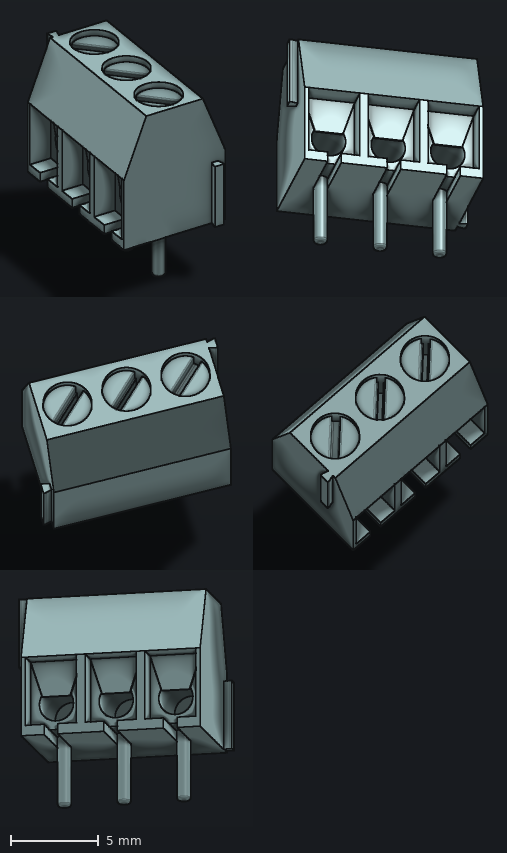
import cadquery as cq

POLE_COUNT = 3
PITCH = 3.5
HOUSING_LENGTH = POLE_COUNT * PITCH
HOUSING_DEPTH = 6.8
HOUSING_HEIGHT = 8.4
SHOULDER_HEIGHT = 4.6
TOP_DEPTH = 3.8

POCKET_WIDTH = 3.0
POCKET_DEPTH = 1.4
FLOOR_THICKNESS = 0.6
WIRE_HOLE_DIAMETER = 2.0
WIRE_HOLE_HEIGHT = 2.1
GUARD_THICKNESS = 0.1
GUARD_TIP_WIDTH = 1.64
GUARD_TIP_HEIGHT = 2.53

SCREW_DIAMETER = 2.8
SCREW_RECESS = 0.4
DRIVE_SLOT_WIDTH = 0.5
DRIVE_SLOT_DEPTH = 0.8
DRIVE_SLOT_ROUNDING = 0.1
DRIVE_SLOT_ANGLE = 45
SLIT_DEPTH = 2.5
SCREW_HAS_SLIT = [False, True, True]

PIN_DIAMETER = 0.8
PIN_PROJECTION = 3.5
PIN_TIP_ROUNDING = 0.2

RIB_PROJECTION = 0.5
RIB_LIP = 0.12
RIB_OUTER_WIDTH = 0.6
RIB_ROOT_WIDTH = 0.4
RIB_LENGTH = 4.0
LEFT_RIB_Y = -1.5
RIGHT_RIB_Y = 2.7

FRONT_Y = -HOUSING_DEPTH / 2
POCKET_BACK_Y = FRONT_Y + POCKET_DEPTH
WIRE_HOLE_END_Y = -POCKET_BACK_Y
SCREW_TOP = HOUSING_HEIGHT - SCREW_RECESS
SCREW_BOTTOM = SHOULDER_HEIGHT
POLE_XS = [(i - (POLE_COUNT - 1) / 2) * PITCH for i in range(POLE_COUNT)]


def make_block():
    """House-shaped profile in the YZ plane, extruded along X."""
    half_depth = HOUSING_DEPTH / 2
    half_top = TOP_DEPTH / 2
    outline = [
        (-half_depth, 0),
        (half_depth, 0),
        (half_depth, SHOULDER_HEIGHT),
        (half_top, HOUSING_HEIGHT),
        (-half_top, HOUSING_HEIGHT),
        (-half_depth, SHOULDER_HEIGHT),
    ]
    return cq.Workplane("YZ").polyline(outline).close().extrude(HOUSING_LENGTH / 2, both=True)


def make_rib(side, y, bottom_z):
    """Dovetail rib on one end; side is -1 for the -X end and +1 for the +X end."""
    root_x = side * HOUSING_LENGTH / 2
    outer_x = root_x + side * RIB_PROJECTION
    lip_x = outer_x - side * RIB_LIP
    half_root = RIB_ROOT_WIDTH / 2
    half_outer = RIB_OUTER_WIDTH / 2
    outline = [
        (root_x, y - half_root),
        (lip_x, y - half_outer),
        (outer_x, y - half_outer),
        (outer_x, y + half_outer),
        (lip_x, y + half_outer),
        (root_x, y + half_root),
    ]
    return cq.Workplane("XY", origin=(0, 0, bottom_z)).polyline(outline).close().extrude(RIB_LENGTH)


def make_wire_pocket(x):
    """Rectangular opening in the front face, above the floor."""
    pocket_height = SHOULDER_HEIGHT - FLOOR_THICKNESS
    return (
        cq.Workplane("XY", origin=(x, FRONT_Y + POCKET_DEPTH / 2, FLOOR_THICKNESS))
        .rect(POCKET_WIDTH, POCKET_DEPTH)
        .extrude(pocket_height)
    )


def make_wire_hole(x):
    """Blind round hole that runs back from the pocket."""
    return (
        cq.Workplane("XZ", origin=(x, POCKET_BACK_Y, WIRE_HOLE_HEIGHT))
        .circle(WIRE_HOLE_DIAMETER / 2)
        .extrude(POCKET_BACK_Y - WIRE_HOLE_END_Y)
    )


def make_guard(x):
    """Thin plate on the pocket's back wall, tapering down across the wire hole."""
    half_top = POCKET_WIDTH / 2
    half_tip = GUARD_TIP_WIDTH / 2
    outline = [
        (-half_top, SHOULDER_HEIGHT),
        (half_top, SHOULDER_HEIGHT),
        (half_tip, GUARD_TIP_HEIGHT),
        (-half_tip, GUARD_TIP_HEIGHT),
    ]
    return cq.Workplane("XZ", origin=(x, POCKET_BACK_Y, 0)).polyline(outline).close().extrude(GUARD_THICKNESS)


def make_pin_slot(x):
    """Floor slot open to the front, with a round end that holds the pin."""
    straight = (
        cq.Workplane("XY", origin=(x, FRONT_Y / 2, 0))
        .rect(PIN_DIAMETER, -FRONT_Y)
        .extrude(FLOOR_THICKNESS)
    )
    round_end = cq.Workplane("XY", origin=(x, 0, 0)).circle(PIN_DIAMETER / 2).extrude(FLOOR_THICKNESS)
    return straight.union(round_end)


def make_screw_bore(x):
    """Blind bore from the housing top that the screw fills."""
    return (
        cq.Workplane("XY", origin=(x, 0, SCREW_BOTTOM))
        .circle(SCREW_DIAMETER / 2)
        .extrude(HOUSING_HEIGHT - SCREW_BOTTOM)
    )


def make_housing():
    body = make_block()
    body = body.union(make_rib(-1, LEFT_RIB_Y, HOUSING_HEIGHT - RIB_LENGTH))
    body = body.union(make_rib(1, RIGHT_RIB_Y, 0))
    for x in POLE_XS:
        body = body.cut(make_wire_pocket(x))
        body = body.cut(make_wire_hole(x))
        body = body.cut(make_pin_slot(x))
        body = body.cut(make_screw_bore(x))
        body = body.union(make_guard(x))
    return body


def make_drive_slot():
    """Slot cutter along X with rounded bottom corners and rounded top edges."""
    half_width = DRIVE_SLOT_WIDTH / 2
    radius = DRIVE_SLOT_ROUNDING
    floor_z = SCREW_TOP - DRIVE_SLOT_DEPTH
    profile = (
        cq.Workplane("YZ")
        .moveTo(-half_width + radius, floor_z)
        .lineTo(half_width - radius, floor_z)
        .radiusArc((half_width, floor_z + radius), -radius)
        .lineTo(half_width, SCREW_TOP - radius)
        .radiusArc((half_width + radius, SCREW_TOP), radius)
        .lineTo(-half_width - radius, SCREW_TOP)
        .radiusArc((-half_width, SCREW_TOP - radius), radius)
        .lineTo(-half_width, floor_z + radius)
        .radiusArc((-half_width + radius, floor_z), -radius)
        .close()
    )
    return profile.extrude(SCREW_DIAMETER, both=True)


def make_slit():
    """Deeper cutter along X, as wide as the flat floor of the drive slot."""
    slit_width = DRIVE_SLOT_WIDTH - 2 * DRIVE_SLOT_ROUNDING
    return (
        cq.Workplane("XY", origin=(0, 0, SCREW_TOP - SLIT_DEPTH))
        .rect(2 * SCREW_DIAMETER, slit_width)
        .extrude(SLIT_DEPTH)
    )


def make_screw(x, has_slit):
    body = (
        cq.Workplane("XY", origin=(0, 0, SCREW_BOTTOM))
        .circle(SCREW_DIAMETER / 2)
        .extrude(SCREW_TOP - SCREW_BOTTOM)
        .cut(make_drive_slot())
    )
    if has_slit:
        body = body.cut(make_slit())
    return body.rotate((0, 0, 0), (0, 0, 1), DRIVE_SLOT_ANGLE).translate((x, 0, 0))


def make_pin(x):
    """Round pin from the top of the floor slot, rounded at its lower tip."""
    return (
        cq.Workplane("XY", origin=(x, 0, -PIN_PROJECTION))
        .circle(PIN_DIAMETER / 2)
        .extrude(PIN_PROJECTION + FLOOR_THICKNESS)
        .faces("<Z")
        .fillet(PIN_TIP_ROUNDING)
    )


housing = make_housing()
screws = [make_screw(x, has_slit) for x, has_slit in zip(POLE_XS, SCREW_HAS_SLIT)]
pins = [make_pin(x) for x in POLE_XS]

result = cq.Compound.makeCompound([body.val() for body in [housing, *screws, *pins]])